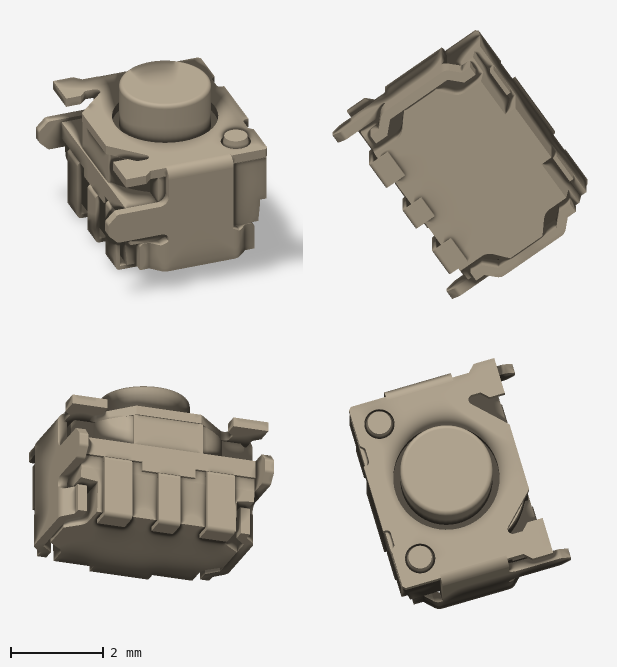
import cadquery as cq
import math


plate_bottom = 2.36
plate_top = 2.565
button_top = 3.405
ledge_bottom = 1.255
ledge_top = 1.65

body_half_width = 1.99
body_rear = 1.6
shoulder_front = -0.91
drum_radius = 1.732
nose_half_width = 0.79
nose_front = -1.61
ledge_front = -1.645
ledge_tab_width = 1.225
ledge_tab_bottom = 1.055
base_front = -1.57
base_front_foot = -1.475
base_front_crease = 0.968
base_rear = 1.45
base_rear_foot = 1.34
base_rear_crease = 1.155
edge_chamfer = 0.08

pocket_roof_outer = 0.73
pocket_roof_inner = 0.685
pocket_start = 0.428
pocket_bend_start = (-1.7, -0.675)
pocket_bend_end = (-1.595, -0.91)

button_radius = 1.0
button_fillet = 0.09
button_hole_radius = 1.15
peg_x = 1.552
peg_y = 1.055
peg_base_radius = 0.32
peg_top_radius = 0.25
peg_top = 2.71
peg_hole_radius = 0.33

plate_half_width = 2.092
plate_rear = 1.598
plate_corner = 0.06
rear_tongue_half_width = 0.745
rear_tongue_end = 1.645
rear_notch_depth = 0.095
rear_notch_outer = 1.21
rear_notch_radius = 0.09
wing_half_width = 2.25
wing_start = -1.125
wing_front = -1.745
wing_inner = 1.445
recess_half_width = 0.745
slot_outer = 1.6
slot_flare_start = -1.245
slot_fillet = 0.11

sheet = 0.205
panel_outer = 2.235
panel_rear = 0.745
panel_front = -0.755
panel_bottom = 0.05
arm_bottom = 1.005
arm_top = 1.705
arm_tip = -2.15
arm_chamfer = 0.215
arm_top_fillet = 0.202
arm_bottom_fillet = 0.16
arm_tip_fillet = 0.09
fold_radius = 0.22
foot_top = 0.695
foot_shoulder = 0.8
foot_bend_radius = 0.225
foot_outer = 1.975
foot_end = 1.325
foot_fillet = 0.09

strip = 0.095
terminal_front = -1.7
terminal_bottom = -0.145
terminal_toe = -1.195
terminal_root = -1.35
outer_terminal_x = 1.18
outer_terminal_width = 0.63
middle_terminal_width = 0.495
terminal_bend = 0.09
hook_bottom = 0.78
rear_rib_width = 1.35


def box(x_range, y_range, z_range):
    """Block between two limits along each axis."""
    sizes = [high - low for low, high in (x_range, y_range, z_range)]
    corner = (x_range[0], y_range[0], z_range[0])
    return cq.Workplane("XY").box(*sizes, centered=False).translate(corner)


def disc(radius, bottom, top):
    """Vertical cylinder on the button axis between two heights."""
    return cq.Workplane("XY").workplane(offset=bottom).circle(radius).extrude(top - bottom)


def side_profile(points, width, x_center=0.0):
    """Closed (y, z) outline given a width along X."""
    profile = cq.Workplane("YZ").polyline(points).close().extrude(width / 2, both=True)
    return profile.translate((x_center, 0, 0))


def both_sides(shape):
    """Shape together with its mirror image across the YZ plane."""
    return shape.union(shape.mirror("YZ"))


def corner_pocket():
    """Pocket at the left front corner of the base, open to the side and the front."""
    (bend_x, bend_y), (wall_x, wall_y) = pocket_bend_start, pocket_bend_end
    pocket = (
        cq.Workplane("XY")
        .moveTo(-body_half_width, -pocket_start)
        .lineTo(bend_x, bend_y)
        .tangentArcPoint((wall_x, wall_y), relative=False)
        .lineTo(wall_x, -body_half_width)
        .lineTo(-2 * body_half_width, -body_half_width)
        .lineTo(-2 * body_half_width, -pocket_start)
        .close()
        .extrude(pocket_roof_outer)
    )
    section = [
        (wall_x, 0),
        (wall_x, pocket_roof_inner),
        (-body_half_width, pocket_roof_outer),
        (-2 * body_half_width, pocket_roof_outer),
        (-2 * body_half_width, 0),
    ]
    return pocket.intersect(cq.Workplane("XZ").polyline(section).close().extrude(body_half_width))


def make_body():
    width = 2 * body_half_width
    base_outline = [
        (base_front_foot, 0),
        (base_front, base_front_crease),
        (base_front, ledge_bottom),
        (base_rear, ledge_bottom),
        (base_rear, base_rear_crease),
        (base_rear_foot, 0),
    ]
    base = side_profile(base_outline, width)
    pockets = both_sides(corner_pocket())
    base = base.cut(pockets).cut(pockets.mirror("XZ"))

    x_range = (-body_half_width, body_half_width)
    ledge = box(x_range, (ledge_front, body_rear), (ledge_bottom, ledge_top))
    half_tab = ledge_tab_width / 2
    ledge_tab = box((-half_tab, half_tab), (ledge_front, base_front_foot), (ledge_tab_bottom, ledge_bottom))

    upper_heights = (ledge_top, plate_bottom)
    block = box(x_range, (shoulder_front, body_rear), upper_heights)
    block = block.faces(">Z").edges("|Y").chamfer(edge_chamfer)
    drum = disc(drum_radius, ledge_top, plate_bottom)
    drum_front = -math.sqrt(drum_radius**2 - nose_half_width**2)
    drum = drum.intersect(box(x_range, (drum_front, 0), upper_heights))
    nose = box((-nose_half_width, nose_half_width), (nose_front, 0), upper_heights)

    half_rib = rear_rib_width / 2
    rear_rib = box((-half_rib, half_rib), (0, body_rear), (0, ledge_bottom))
    body = base.union(ledge).union(ledge_tab).union(rear_rib)
    return body.union(block).union(drum).union(nose)


def make_plate():
    notch_floor = plate_rear - rear_notch_depth
    notch_end = rear_tongue_half_width + rear_notch_radius
    left_edge = [
        (-wing_inner, wing_front),
        (-wing_half_width, wing_front),
        (-wing_half_width, wing_start - wing_half_width + plate_half_width),
        (-plate_half_width, wing_start),
        (-plate_half_width, plate_rear - plate_corner),
        (-plate_half_width + plate_corner, plate_rear),
        (-rear_notch_outer, plate_rear),
        (-rear_notch_outer + rear_notch_depth, notch_floor),
        (-notch_end, notch_floor),
    ]
    plate = (
        cq.Workplane("XY")
        .workplane(offset=plate_bottom)
        .polyline([(0, wing_front)] + left_edge)
        .radiusArc((-rear_tongue_half_width, notch_floor + rear_notch_radius), -rear_notch_radius)
        .lineTo(-rear_tongue_half_width, rear_tongue_end)
        .lineTo(0, rear_tongue_end)
        .close()
        .extrude(plate_top - plate_bottom)
    )
    plate = both_sides(plate)

    slot_end = ledge_front + slot_outer - recess_half_width
    flare = slot_outer - wing_inner
    left_recess = [
        (0, ledge_front),
        (-recess_half_width, ledge_front),
        (-slot_outer, slot_end),
        (-slot_outer, slot_flare_start),
        (-wing_inner, slot_flare_start - flare),
        (-wing_inner, wing_front),
        (0, wing_front),
    ]
    recess = cq.Workplane("XY").polyline(left_recess).close().extrude(plate_top)
    tip = cq.selectors.NearestToPointSelector((-slot_outer, slot_end, plate_top / 2))
    recess = both_sides(recess.edges("|Z").edges(tip).fillet(slot_fillet))
    plate = plate.cut(recess)

    button_hole = disc(button_hole_radius, plate_bottom, plate_top)
    peg_hole = disc(peg_hole_radius, plate_bottom, plate_top).translate((peg_x, peg_y, 0))
    return plate.cut(button_hole).cut(both_sides(peg_hole))


def make_foot():
    """Front foot of the left panel, stepped inwards at 45 degrees into the corner pocket."""
    bend_drop = foot_bend_radius * (1 - math.cos(math.pi / 4))
    bend_run = foot_bend_radius * math.sin(math.pi / 4)
    bend_end = (-panel_outer + bend_drop, panel_front - bend_run)
    step = bend_end[0] + foot_outer
    straight_start = bend_end[1] + step
    inner_shift = sheet * math.tan(math.pi / 8)
    inner_step = panel_outer - foot_outer
    inner_bend_y = straight_start + inner_shift + inner_step
    foot = (
        cq.Workplane("XY")
        .workplane(offset=panel_bottom)
        .moveTo(-panel_outer, panel_front)
        .radiusArc(bend_end, -foot_bend_radius)
        .lineTo(-foot_outer, straight_start)
        .lineTo(-foot_outer, -foot_end)
        .lineTo(-foot_outer + sheet, -foot_end)
        .lineTo(-foot_outer + sheet, straight_start + inner_shift)
        .lineTo(-panel_outer + sheet, inner_bend_y)
        .lineTo(-panel_outer + sheet, 0)
        .lineTo(-panel_outer, 0)
        .close()
        .extrude(foot_shoulder - panel_bottom)
    )
    keep = [
        (0, panel_bottom),
        (-foot_end, panel_bottom),
        (-foot_end, foot_top),
        (bend_end[1], foot_top),
        (panel_front, foot_shoulder),
        (0, foot_shoulder),
    ]
    foot = foot.intersect(side_profile(keep, 4 * panel_outer))
    return foot.faces("<Y").edges(">Z").fillet(foot_fillet)


def make_panel():
    """Left side panel with its forward arm and two feet."""
    panel_x = -panel_outer + sheet / 2
    outline = [
        (panel_rear, panel_bottom),
        (panel_rear, plate_top),
        (panel_front, plate_top),
        (panel_front, arm_top),
        (arm_tip + arm_chamfer, arm_top),
        (arm_tip, arm_top - arm_chamfer),
        (arm_tip, arm_bottom + arm_chamfer),
        (arm_tip + arm_chamfer, arm_bottom),
        (panel_front, arm_bottom),
        (panel_front, panel_bottom),
    ]
    panel = side_profile(outline, sheet, panel_x)
    for arm_edge, radius in ((arm_bottom, arm_bottom_fillet), (arm_top, arm_top_fillet)):
        corner = cq.selectors.NearestToPointSelector((panel_x, panel_front, arm_edge))
        panel = panel.edges("|X").edges(corner).fillet(radius)
    tip_region = cq.selectors.BoxSelector((-wing_half_width, 2 * arm_tip, 0), (0, wing_front, plate_top))
    panel = panel.edges("|X").edges(tip_region).fillet(arm_tip_fillet)
    foot = make_foot()
    return panel.union(foot).union(foot.mirror("XZ"))


def fold_corner():
    """Material outside the rounded fold between the plate and the left panel."""
    fold_x = -panel_outer + fold_radius
    fold_z = plate_top - fold_radius
    length = panel_rear - panel_front
    corner = box((-panel_outer, fold_x), (panel_front, panel_rear), (fold_z, plate_top))
    rounding = cq.Workplane("XZ").center(fold_x, fold_z).circle(fold_radius).extrude(length)
    return corner.cut(rounding.translate((0, panel_rear, 0)))


def make_shell():
    shell = make_plate().union(both_sides(make_panel()))
    return shell.cut(both_sides(fold_corner()))


def make_button():
    button = disc(button_radius, ledge_top, button_top)
    return button.faces(">Z").edges().fillet(button_fillet)


def make_pegs():
    half_section = [
        (0, ledge_top),
        (peg_base_radius, ledge_top),
        (peg_base_radius, plate_bottom),
        (peg_top_radius, peg_top),
        (0, peg_top),
    ]
    peg = cq.Workplane("XZ").polyline(half_section).close().revolve(360, (0, 0, 0), (0, 1, 0))
    return both_sides(peg.translate((peg_x, peg_y, 0)))


def terminal(x_center, width, top):
    """Bent strip: out of the body, down its front face and back under it."""
    outline = [
        (terminal_root, top),
        (terminal_front, top),
        (terminal_front, terminal_bottom),
        (terminal_toe, terminal_bottom),
        (terminal_toe, terminal_bottom + strip),
        (terminal_front + strip, terminal_bottom + strip),
        (terminal_front + strip, top - strip),
        (terminal_root, top - strip),
    ]
    bent = side_profile(outline, width, x_center)
    return bent.faces("<Y").edges("|X").fillet(terminal_bend)


def rear_hook(x_center):
    """Short strip leaving the rear of the base and turning down."""
    outline = [
        (base_rear_foot, ledge_bottom),
        (body_rear, ledge_bottom),
        (body_rear, hook_bottom),
        (body_rear - strip, hook_bottom),
        (body_rear - strip, base_rear_crease),
        (base_rear_foot, base_rear_crease),
    ]
    hook = side_profile(outline, outer_terminal_width, x_center)
    return hook.faces(">Y").edges(">Z").fillet(terminal_bend)


result = make_body().union(make_shell())
result = result.union(make_button()).union(make_pegs())
for side in (-1, 1):
    result = result.union(terminal(side * outer_terminal_x, outer_terminal_width, ledge_bottom))
    result = result.union(rear_hook(side * outer_terminal_x))
result = result.union(terminal(0, middle_terminal_width, ledge_tab_bottom))